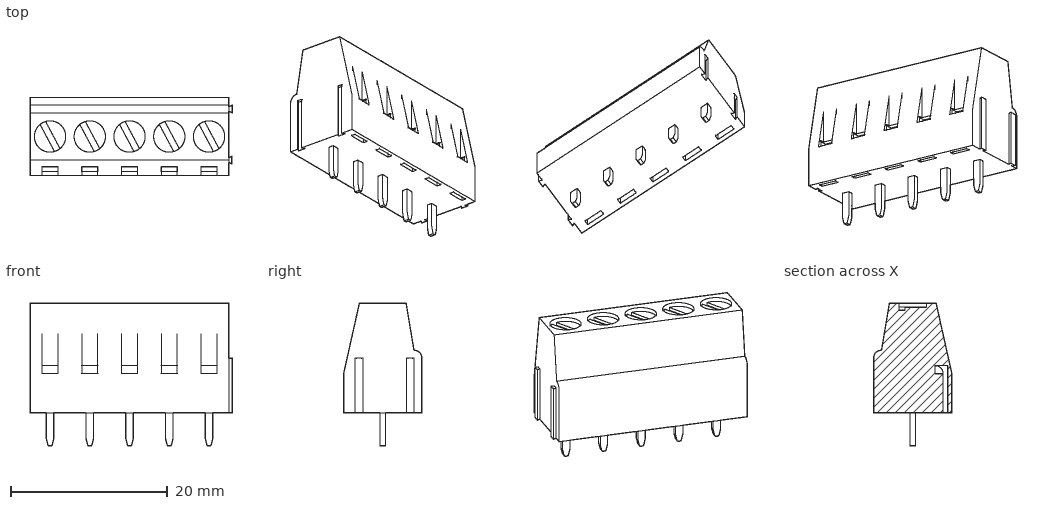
import cadquery as cq
import math

POLES = 5
BODY_LENGTH = 25.35
LENGTH = 25.8
DEPTH = 10.0
HEIGHT = 14.0
PITCH = BODY_LENGTH / POLES

FRONT_WALL_HEIGHT = 5.0
TOP_INSET = 2.0
LEDGE_HEIGHT = 8.0
LEDGE_DEPTH = 1.0

WINDOW_WIDTH = 2.0
WINDOW_BACK = 1.14
LIP_THICKNESS = 0.55

CAVITY_WIDTH = 2.48
CLAMP_WIDTH = WINDOW_WIDTH
CLAMP_RADIUS = 1.0
CLAMP_FLOOR = FRONT_WALL_HEIGHT
CLAMP_BACK = WINDOW_BACK + CLAMP_RADIUS
CAVITY_TOP = CLAMP_FLOOR + CLAMP_RADIUS

SCREW_DIAMETER = 4.0
SCREW_RECESS = 0.52
SLOT_WIDTH = 0.8
SLOT_DEPTH = 0.39
SLOT_ANGLE = 118

PIN_WIDTH = 1.0
PIN_THICKNESS = 0.72
PIN_LENGTH = 4.23
PIN_STRAIGHT = 3.25
TIP_WIDTH = 0.4
TIP_CHAMFER_WIDTH = 0.1
TIP_CHAMFER_HEIGHT = 0.2

DOVETAIL_HEIGHT = 7.0
DOVETAIL_ROOT = 0.62
DOVETAIL_WIDTH = 1.0
REAR_DOVETAIL_Y = DEPTH - 1.5
REAR_DOVETAIL_REACH = LENGTH - BODY_LENGTH
FRONT_DOVETAIL_Y = 1.99
FRONT_DOVETAIL_REACH = 0.39


def pole_positions():
    return [(pole + 0.5) * PITCH for pole in range(POLES)]


def extrude_across(profile, center_x, width):
    """Extrude a YZ profile along X, centred on center_x."""
    return profile.extrude(width / 2, both=True).translate((center_x, 0, 0))


def housing():
    ledge_round = LEDGE_DEPTH * math.sqrt(0.5)
    arc_y = DEPTH - LEDGE_DEPTH + ledge_round
    arc_z = LEDGE_HEIGHT - LEDGE_DEPTH + ledge_round
    return (
        cq.Workplane("YZ")
        .lineTo(DEPTH, 0)
        .lineTo(DEPTH, LEDGE_HEIGHT - LEDGE_DEPTH)
        .threePointArc((arc_y, arc_z), (DEPTH - LEDGE_DEPTH, LEDGE_HEIGHT))
        .lineTo(DEPTH - TOP_INSET, HEIGHT)
        .lineTo(TOP_INSET, HEIGHT)
        .lineTo(0, FRONT_WALL_HEIGHT)
        .close()
        .extrude(BODY_LENGTH)
    )


def window(center_x):
    """Notch with a flat sill and a vertical back wall, open to the front."""
    return (
        cq.Workplane("XY")
        .box(WINDOW_WIDTH, WINDOW_BACK, HEIGHT - FRONT_WALL_HEIGHT, centered=(True, False, False))
        .translate((center_x, 0, FRONT_WALL_HEIGHT))
    )


def clamp_cavity(center_x):
    """Shaft open at the underside that widens rearwards above the clamp floor."""
    profile = (
        cq.Workplane("YZ")
        .moveTo(LIP_THICKNESS, 0)
        .lineTo(WINDOW_BACK, 0)
        .lineTo(WINDOW_BACK, CLAMP_FLOOR)
        .lineTo(CLAMP_BACK, CLAMP_FLOOR)
        .lineTo(CLAMP_BACK, CAVITY_TOP)
        .lineTo(LIP_THICKNESS, CAVITY_TOP)
        .close()
    )
    return extrude_across(profile, center_x, CAVITY_WIDTH)


def clamp(center_x):
    """Quarter-round bar on the clamp floor, curving up from front to back."""
    rise = CLAMP_RADIUS * math.sqrt(0.5)
    profile = (
        cq.Workplane("YZ")
        .moveTo(WINDOW_BACK, CLAMP_FLOOR)
        .threePointArc((CLAMP_BACK - rise, CLAMP_FLOOR + rise), (CLAMP_BACK, CAVITY_TOP))
        .lineTo(CLAMP_BACK, CLAMP_FLOOR)
        .close()
    )
    return extrude_across(profile, center_x, CLAMP_WIDTH)


def screw_recess(center_x):
    """Round recess with the screwdriver slot in its floor."""
    recess = cq.Workplane("XY").circle(SCREW_DIAMETER / 2).extrude(-SCREW_RECESS)
    head = cq.Workplane("XY").circle(SCREW_DIAMETER / 2).extrude(-SCREW_RECESS - SLOT_DEPTH)
    slot = (
        cq.Workplane("XY")
        .rect(SCREW_DIAMETER, SLOT_WIDTH)
        .extrude(-SCREW_RECESS - SLOT_DEPTH)
        .rotate((0, 0, 0), (0, 0, 1), SLOT_ANGLE)
    )
    return recess.union(slot.intersect(head)).translate((center_x, DEPTH / 2, HEIGHT))


def pin(center_x):
    """Flat pin that narrows to a chamfered tip."""
    shoulder = TIP_WIDTH / 2 + TIP_CHAMFER_WIDTH
    half_outline = [
        (PIN_WIDTH / 2, 0),
        (PIN_WIDTH / 2, -PIN_STRAIGHT),
        (shoulder, -PIN_LENGTH + TIP_CHAMFER_HEIGHT),
        (TIP_WIDTH / 2, -PIN_LENGTH),
    ]
    mirrored = [(-x, z) for x, z in reversed(half_outline)]
    return (
        cq.Workplane("XZ")
        .polyline(half_outline + mirrored)
        .close()
        .extrude(PIN_THICKNESS / 2, both=True)
        .translate((center_x, DEPTH / 2, 0))
    )


def dovetail(wall_x, center_y, reach):
    """Upright dovetail that widens in +X from the wall."""
    return (
        cq.Workplane("XY")
        .moveTo(wall_x, center_y - DOVETAIL_ROOT / 2)
        .lineTo(wall_x + reach, center_y - DOVETAIL_WIDTH / 2)
        .lineTo(wall_x + reach, center_y + DOVETAIL_WIDTH / 2)
        .lineTo(wall_x, center_y + DOVETAIL_ROOT / 2)
        .close()
        .extrude(DOVETAIL_HEIGHT)
    )


result = housing()
for x in pole_positions():
    result = result.cut(window(x)).cut(clamp_cavity(x)).cut(screw_recess(x))
    result = result.union(clamp(x)).union(pin(x))
for y, reach in ((REAR_DOVETAIL_Y, REAR_DOVETAIL_REACH), (FRONT_DOVETAIL_Y, FRONT_DOVETAIL_REACH)):
    result = result.cut(dovetail(0, y, reach)).union(dovetail(BODY_LENGTH, y, reach))